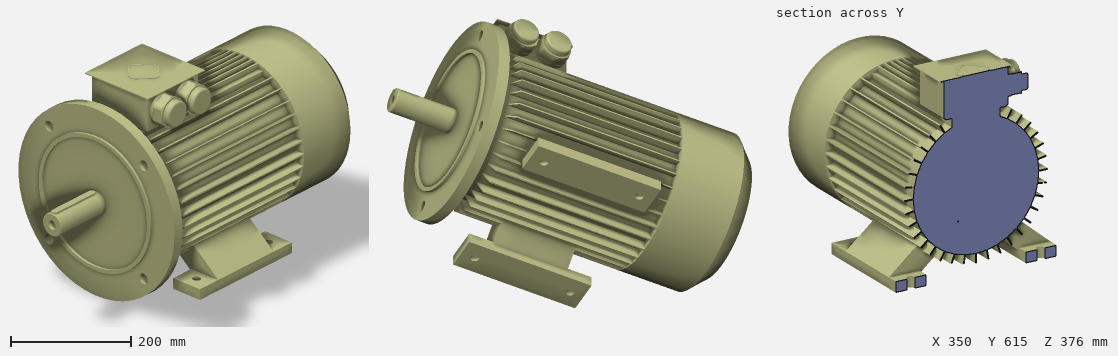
import cadquery as cq
import math


flange_diameter = 350
flange_thickness = 20
flange_hole_circle = 300
flange_hole_diameter = 19
flange_hole_count = 4
first_flange_hole_angle = 45
spigot_diameter = 250
spigot_bore = 236
spigot_height = 5

neck_diameter = spigot_diameter
neck_rear_y = 43.5
body_diameter = 245

cover_diameter = 280
cover_front_y = 360
cover_rear_y = 505
cover_chamfer = 30

fin_thickness = 2.5
fin_pitch_angle = 10
fin_tip_radius = cover_diameter / 2
fin_root_radius = body_diameter / 2
fin_front_y = 46.5
fin_taper_length = 14
fin_gap_half_angle = 20
embed = 10

platform_width = 95
platform_top_z = 124
platform_depth = 20
platform_front_y = 50.5
upright_fin_pitch = 12
upright_fin_count = 7
upright_fin_top_z = 139
upright_fin_front_y = 188
upright_fin_taper_length = 10
upright_fin_nose_height = 5

shaft_diameter = 42
shaft_length = 110
shaft_chamfer = 1
key_width = 12
key_top_z = 24
key_length = shaft_length - spigot_height - 1
key_depth = 8
centre_hole_diameter = 13.84
centre_hole_mouth = 16.5
centre_hole_depth = 36
drill_point_angle = 120

axis_height = 160
foot_hole_spacing_x = 254
foot_hole_spacing_y = 178
foot_hole_diameter = 15
foot_width = 60
foot_length = 228
foot_thickness = 20
foot_centre_y = 197
gusset_length = 137
gusset_angle = 40
gusset_run = 65
gusset_inner_drop = 5.5

box_centre_y = 120.3
box_side = 125
box_bottom_z = 128.5
box_chamfer = 3.5
box_neck_side = platform_width
lid_side = 141.5
lid_thickness = 2
lid_top_z = 199.5
badge_top_z = 201
badge_centre_y = 117
badge_side = 51.5
badge_corner_radius = 11.5
badge_rim = 2.5
badge_recess = 1
badge_angle = 45

gland_spacing = 61
gland_z = 165.4
collar_diameter = 54
collar_end_x = 69
hex_across_flats = 51
hex_corner_diameter = 56.5
hex_end_x = 87.3
washer_end_x = 89.3
cap_diameter = 47.09
cap_end_x = 101.8
cap_fillet = 3.5


def cylinder_along_y(diameter, y_start, y_end):
    """Round bar on the shaft axis between two Y positions."""
    plane = cq.Workplane("XZ", origin=(0, y_start, 0))
    return plane.circle(diameter / 2).extrude(y_start - y_end)


def cylinder_along_x(diameter, x_start, x_end, y):
    """Round bar on a cable gland axis between two X positions."""
    plane = cq.Workplane("YZ", origin=(x_start, y, gland_z))
    return plane.circle(diameter / 2).extrude(x_end - x_start)


def square_block(side, centre_y, z_bottom, z_top):
    """Upright square block centred on X = 0."""
    plane = cq.Workplane("XY", origin=(0, centre_y, z_bottom))
    return plane.rect(side, side).extrude(z_top - z_bottom)


def make_flange():
    flange = cylinder_along_y(flange_diameter, 0, flange_thickness)
    holes = (
        cq.Workplane("XZ")
        .polarArray(flange_hole_circle / 2, first_flange_hole_angle, 360, flange_hole_count)
        .circle(flange_hole_diameter / 2)
        .extrude(-flange_thickness)
    )
    ring = cylinder_along_y(spigot_diameter, -spigot_height, 0)
    ring = ring.cut(cylinder_along_y(spigot_bore, -spigot_height, 0))
    return flange.cut(holes).union(ring)


def make_body():
    neck = cylinder_along_y(neck_diameter, flange_thickness, neck_rear_y)
    stator = cylinder_along_y(body_diameter, neck_rear_y, cover_front_y)
    cover = cylinder_along_y(cover_diameter, cover_front_y, cover_rear_y)
    cover = cover.faces(">Y").chamfer(cover_chamfer)
    return neck.union(stator).union(cover)


def make_radial_fins():
    """Fins all round the body except over the platform at the top."""
    taper_y = fin_front_y + fin_taper_length
    inner_radius = fin_root_radius - embed
    fin = (
        cq.Workplane("YZ", origin=(-fin_thickness / 2, 0, 0))
        .moveTo(fin_front_y, inner_radius)
        .lineTo(fin_front_y, fin_root_radius)
        .lineTo(taper_y, fin_tip_radius)
        .lineTo(cover_front_y, fin_tip_radius)
        .lineTo(cover_front_y, inner_radius)
        .close()
        .extrude(fin_thickness)
    )
    first_angle = fin_gap_half_angle + fin_pitch_angle
    angles = range(first_angle, 360 - fin_gap_half_angle, fin_pitch_angle)
    return [fin.rotate((0, 0, 0), (0, 1, 0), angle) for angle in angles]


def make_platform():
    base_z = platform_top_z - platform_depth
    length = cover_front_y - platform_front_y
    centre_y = platform_front_y + length / 2
    plane = cq.Workplane("XY", origin=(0, centre_y, base_z))
    return plane.rect(platform_width, length).extrude(platform_top_z - base_z)


def make_upright_fins():
    """Parallel fins standing on the platform between fan cover and terminal box."""
    nose_z = platform_top_z + upright_fin_nose_height
    profile = (
        cq.Workplane("YZ", origin=(-fin_thickness / 2, 0, 0))
        .moveTo(upright_fin_front_y, platform_top_z - embed)
        .lineTo(upright_fin_front_y, nose_z)
        .lineTo(upright_fin_front_y + upright_fin_taper_length, upright_fin_top_z)
        .lineTo(cover_front_y, upright_fin_top_z)
        .lineTo(cover_front_y, platform_top_z - embed)
        .close()
        .extrude(fin_thickness)
    )
    inside_cover = cylinder_along_y(cover_diameter, 0, cover_front_y)
    fins = []
    for index in range(upright_fin_count):
        x = (index - (upright_fin_count - 1) / 2) * upright_fin_pitch
        fins.append(profile.translate((x, 0, 0)).intersect(inside_cover))
    return fins


def make_shaft():
    shaft = cylinder_along_y(shaft_diameter, -shaft_length, 0)
    shaft = shaft.faces("<Y").chamfer(shaft_chamfer)
    key_centre_y = -spigot_height - key_length / 2
    key = (
        cq.Workplane("XY", origin=(0, key_centre_y, key_top_z - key_depth))
        .slot2D(key_length, key_width, 90)
        .extrude(key_depth)
    )
    return shaft.union(key)


def make_centre_hole():
    """Tapping hole in the shaft end, with a chamfered mouth and a drill point."""
    radius = centre_hole_diameter / 2
    mouth_radius = centre_hole_mouth / 2
    bottom_y = -shaft_length + centre_hole_depth
    point_length = radius / math.tan(math.radians(drill_point_angle / 2))
    return (
        cq.Workplane("XY")
        .moveTo(0, -shaft_length)
        .lineTo(mouth_radius, -shaft_length)
        .lineTo(radius, -shaft_length + mouth_radius - radius)
        .lineTo(radius, bottom_y)
        .lineTo(0, bottom_y + point_length)
        .close()
        .revolve(360, (0, 0, 0), (0, 1, 0))
    )


def make_foot(side):
    """One foot: bolted pad and a sloping gusset that runs up into the body."""
    centre_x = side * foot_hole_spacing_x / 2
    outer_x = centre_x + side * foot_width / 2
    inner_x = centre_x - side * foot_width / 2
    pad_top_z = -axis_height + foot_thickness
    gusset_top_z = pad_top_z + gusset_run * math.tan(math.radians(gusset_angle))
    pad = (
        cq.Workplane("XY", origin=(centre_x, foot_centre_y, -axis_height))
        .rect(foot_width, foot_length)
        .extrude(foot_thickness)
    )
    holes = (
        cq.Workplane("XY", origin=(centre_x, foot_centre_y, -axis_height))
        .pushPoints([(0, -foot_hole_spacing_y / 2), (0, foot_hole_spacing_y / 2)])
        .circle(foot_hole_diameter / 2)
        .extrude(foot_thickness)
    )
    gusset = (
        cq.Workplane("XZ", origin=(0, foot_centre_y, 0))
        .moveTo(outer_x, pad_top_z)
        .lineTo(outer_x - side * gusset_run, gusset_top_z)
        .lineTo(inner_x - side * gusset_run, gusset_top_z - gusset_inner_drop)
        .lineTo(inner_x, pad_top_z - gusset_inner_drop)
        .lineTo(inner_x, pad_top_z)
        .close()
        .extrude(gusset_length / 2, both=True)
    )
    return pad.cut(holes).union(gusset)


def make_badge():
    """Diamond-shaped raised plate on the lid, recessed inside its rim."""
    lowest_z = lid_top_z - lid_thickness / 2
    badge = square_block(badge_side, badge_centre_y, lowest_z, badge_top_z)
    badge = badge.edges("|Z").fillet(badge_corner_radius)
    recess_side = badge_side - 2 * badge_rim
    recess_floor_z = badge_top_z - badge_recess
    recess = square_block(recess_side, badge_centre_y, recess_floor_z, badge_top_z)
    recess = recess.edges("|Z").fillet(badge_corner_radius - badge_rim)
    return badge.cut(recess).rotate((0, badge_centre_y, 0), (0, badge_centre_y, 1), badge_angle)


def make_terminal_box():
    neck = square_block(box_neck_side, box_centre_y, platform_top_z - embed, box_bottom_z)
    housing = square_block(box_side, box_centre_y, box_bottom_z, lid_top_z - lid_thickness)
    housing = housing.faces("<Z").chamfer(box_chamfer)
    lid = square_block(lid_side, box_centre_y, lid_top_z - lid_thickness, lid_top_z)
    return neck.union(housing).union(lid).union(make_badge())


def make_gland(y):
    """Cable gland on the +X side of the terminal box: collar, hexagon, washer and cap."""
    collar = cylinder_along_x(collar_diameter, box_side / 2, collar_end_x, y)
    hexagon = (
        cq.Workplane("YZ", origin=(collar_end_x, y, gland_z))
        .polygon(6, hex_across_flats, circumscribed=True)
        .extrude(hex_end_x - collar_end_x)
        .intersect(cylinder_along_x(hex_corner_diameter, collar_end_x, hex_end_x, y))
    )
    washer = cylinder_along_x(collar_diameter, hex_end_x, washer_end_x, y)
    cap = cylinder_along_x(cap_diameter, washer_end_x, cap_end_x, y)
    cap = cap.faces(">X").edges().fillet(cap_fillet)
    return collar.union(hexagon).union(washer).union(cap)


result = make_body().union(make_flange())
for fin in make_radial_fins() + make_upright_fins():
    result = result.union(fin)
result = result.union(make_platform())
result = result.union(make_shaft()).cut(make_centre_hole())
for side in (-1, 1):
    result = result.union(make_foot(side))
    gland_y = box_centre_y + side * gland_spacing / 2
    result = result.union(make_gland(gland_y))
result = result.union(make_terminal_box())